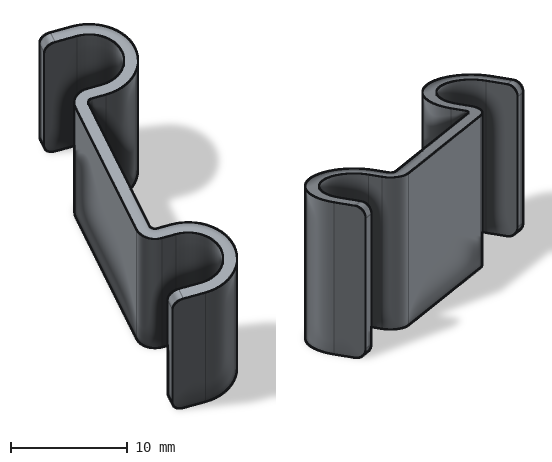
import cadquery as cq
import math

sheet_thickness = 1.2
strip_width = 14.0
clip_spacing = 24.4
clip_inner_radius = 3.0
leg_length = 3.0
bend_inner_radius = 0.5
tip_corner_radius = 1.0

clip_outer_radius = clip_inner_radius + sheet_thickness
bend_outer_radius = bend_inner_radius + sheet_thickness
clip_x = clip_spacing / 2
inner_leg_near_x = clip_x - clip_outer_radius
inner_leg_far_x = clip_x - clip_inner_radius
outer_leg_near_x = clip_x + clip_inner_radius
outer_leg_far_x = clip_x + clip_outer_radius
bend_x = inner_leg_far_x - bend_outer_radius
bend_y = bend_outer_radius - leg_length


def bend_midpoint(radius):
    """Middle of the quarter bend that joins the web to the inner leg."""
    offset = radius * math.sqrt(0.5)
    return (bend_x + offset, bend_y - offset)


def half_strip():
    """The +X half: web, bend, inner leg, clip arch and free leg, with Y = 0 on the clip axis."""
    web_back_y = -leg_length
    web_front_y = web_back_y + sheet_thickness
    profile = (
        cq.Workplane("XY")
        .moveTo(0, web_back_y)
        .lineTo(bend_x, web_back_y)
        .threePointArc(bend_midpoint(bend_outer_radius), (inner_leg_far_x, bend_y))
        .lineTo(inner_leg_far_x, 0)
        .threePointArc((clip_x, clip_inner_radius), (outer_leg_near_x, 0))
        .lineTo(outer_leg_near_x, -leg_length)
        .lineTo(outer_leg_far_x, -leg_length)
        .lineTo(outer_leg_far_x, 0)
        .threePointArc((clip_x, clip_outer_radius), (inner_leg_near_x, 0))
        .lineTo(inner_leg_near_x, bend_y)
        .threePointArc(bend_midpoint(bend_inner_radius), (bend_x, web_front_y))
        .lineTo(0, web_front_y)
        .close()
    )
    return profile.extrude(strip_width)


def round_leg_tip(strip):
    """Round the two corners at the end of the free leg."""
    selection_margin = tip_corner_radius / 2
    tip_box = cq.selectors.BoxSelector(
        (outer_leg_near_x - selection_margin, -leg_length - selection_margin, -selection_margin),
        (outer_leg_far_x + selection_margin, -leg_length + selection_margin, strip_width + selection_margin),
    )
    return strip.edges(tip_box).edges("|X").fillet(tip_corner_radius)


half = round_leg_tip(half_strip())
result = half.union(half.mirror("YZ")).clean()